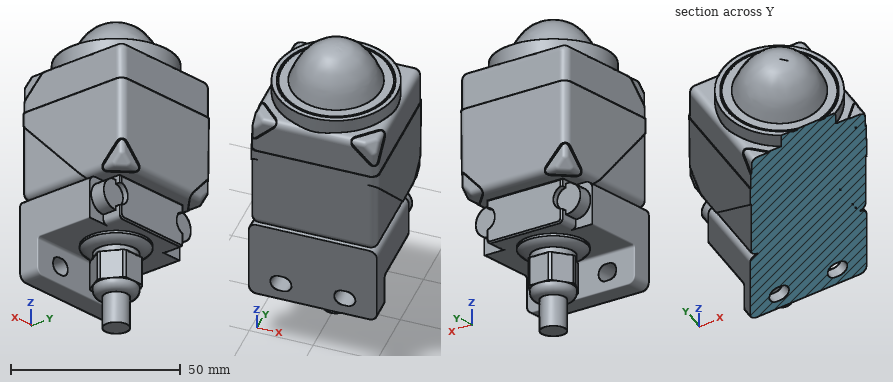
import cadquery as cq
import math

TOTAL_HEIGHT = 97.91

SEAM_WIDTH = 40.15
UPPER_WIDTH = 39.75
WEDGE_WIDTH = 39.5
HOUSING_HEIGHT = 40.0
SEAM_Z = 28.0
EDGE_RADIUS = 2.4
LOWER_DRAFT = math.degrees(math.atan((SEAM_WIDTH - UPPER_WIDTH) / 2 / SEAM_Z))
WALL_OVERHANG = 2.0
WEDGE_TOP_Z = 24.8
FRONT_Y = -SEAM_WIDTH / 2

RELIEF_SIZE = 10.0
CORNER_CUT_SIZE = 5.6
RELIEF_DEPTH = 0.3
RELIEF_EDGE_RADIUS = 1.6

RING_DIAMETER = 38.1
RING_TOP_Z = 44.5
GROOVE_OUTER_DIAMETER = 35.0
GROOVE_WIDTH = 0.5
GROOVE_DEPTH = 0.5
DOME_RADIUS = 14.1
DOME_HEIGHT = 12.78
DOME_UPPER_DROP = 3.63
DOME_UPPER_RADIUS = 9.0
DOME_LOWER_DROP = 8.9
DOME_LOWER_RADIUS = 12.5
DOME_BASE_DIRECTION = (-0.4, -1)

BRACKET_WIDTH = SEAM_WIDTH
BRACKET_CORNER_RADIUS = 2.5
PLATE_HEIGHT = 26.0
PLATE_THICKNESS = 7.0
BLOCK_HEIGHT = 14.0
BLOCK_DEPTH = 27.4
INNER_FILLET = 0.8
REAR_EDGE_RADIUS = 0.35
SLOT_LENGTH = 6.6
SLOT_WIDTH = 5.4
SLOT_SPACING = 20.0
SLOT_Z = -20.1

CLAMP_BACK_Y = 14.15
CLAMP_WIDTH = 28.0
CLAMP_HEIGHT = BLOCK_HEIGHT
CLAMP_EDGE_RADIUS = 1.5
CLAMP_BACK_CHAMFER = 0.5
BOSS_SPACING = 29.0
BOSS_RADIUS = 4.9
BOSS_Z = -6.1
RECESS_RADIUS = 3.65
RECESS_DEPTH = 1.9

FLANGE_DIAMETER = 21.6
FLANGE_RIM_Z = -14.75
FLANGE_SHOULDER_RADIUS = 9.8
FLANGE_SHOULDER_Z = -15.8
FLANGE_BOTTOM_Z = -16.7
GLAND_DIAMETER = 13.9
HEX_TOP_Z = -18.6
HEX_BOTTOM_Z = -27.5
HEX_FLATS = 14.0
HEX_TURN = 30
HEX_ROUNDING_DIAMETER = 15.6
CAP_BOTTOM_Z = -30.7
CAP_RADIUS = 2.4
CABLE_DIAMETER = 8.2
CABLE_END_Z = RING_TOP_Z + DOME_HEIGHT - TOTAL_HEIGHT


def square_block(width, bottom, top):
    """Square prism centred on the Z axis."""
    return cq.Workplane("XY").workplane(offset=bottom).rect(width, width).extrude(top - bottom)


def disc(diameter, bottom, top):
    """Cylinder on the Z axis."""
    return cq.Workplane("XY").workplane(offset=bottom).circle(diameter / 2).extrude(top - bottom)


def upper_shell():
    """Shell above the seam, rounded along its top and upright edges."""
    block = square_block(UPPER_WIDTH, SEAM_Z, HOUSING_HEIGHT)
    return block.edges("|Z or >Z").fillet(EDGE_RADIUS)


def wedge_prism():
    """Space below the 45 degree plane that crosses the housing sides."""
    return (
        cq.Workplane("YZ")
        .moveTo(FRONT_Y, 0)
        .lineTo(FRONT_Y + WEDGE_TOP_Z, 0)
        .lineTo(FRONT_Y, WEDGE_TOP_Z)
        .close()
        .extrude(SEAM_WIDTH / 2, both=True)
    )


def lower_shell():
    """Shell with a plumb front face, side walls drafted except in the front wedge."""
    envelope = square_block(SEAM_WIDTH, 0, SEAM_Z)
    tapered = (
        cq.Workplane("XY", origin=(0, -WALL_OVERHANG / 2, SEAM_Z))
        .rect(SEAM_WIDTH, SEAM_WIDTH + WALL_OVERHANG)
        .extrude(-SEAM_Z, taper=LOWER_DRAFT)
        .intersect(envelope)
        .edges("not >Z")
        .fillet(EDGE_RADIUS)
    )
    wedge_depth = WEDGE_WIDTH / 2 - FRONT_Y
    straight = (
        cq.Workplane("XY", origin=(0, FRONT_Y + wedge_depth / 2, 0))
        .rect(WEDGE_WIDTH, wedge_depth)
        .extrude(SEAM_Z)
        .edges("|Z or <Z")
        .fillet(EDGE_RADIUS)
    )
    wedge = wedge_prism()
    return tapered.cut(wedge).union(straight.intersect(wedge))


def corner_tetrahedron(size, x_sign, y_sign, z, z_sign):
    """Corner solid whose three legs run along the housing edges from one vertex."""
    x = x_sign * SEAM_WIDTH / 2
    y = y_sign * SEAM_WIDTH / 2
    vertex = cq.Vector(x, y, z)
    x_leg = cq.Vector(x - x_sign * size, y, z)
    y_leg = cq.Vector(x, y - y_sign * size, z)
    z_leg = cq.Vector(x, y, z + z_sign * size)
    triangles = [
        (vertex, x_leg, y_leg),
        (vertex, y_leg, z_leg),
        (vertex, z_leg, x_leg),
        (x_leg, y_leg, z_leg),
    ]
    faces = [cq.Face.makeFromWires(cq.Wire.makePolygon(t, close=True)) for t in triangles]
    solid = cq.Solid.makeSolid(cq.Shell.makeShell(faces))
    return cq.Workplane(obj=solid.fix())


def housing():
    """Both shells, with a shallow relief around a flat facet at four corners."""
    body = upper_shell().union(lower_shell())
    core_width = UPPER_WIDTH - 2 * RELIEF_DEPTH
    core = square_block(core_width, RELIEF_DEPTH, HOUSING_HEIGHT - RELIEF_DEPTH)
    reliefs = []
    for x_sign in (-1, 1):
        for y_sign, z, z_sign in ((-1, HOUSING_HEIGHT, -1), (1, 0, 1)):
            core = core.cut(corner_tetrahedron(CORNER_CUT_SIZE, x_sign, y_sign, z, z_sign))
            reliefs.append(corner_tetrahedron(RELIEF_SIZE, x_sign, y_sign, z, z_sign))
    core = core.edges().fillet(RELIEF_EDGE_RADIUS)
    for relief in reliefs:
        body = body.cut(relief.cut(core))
    return body


def ring():
    """Plain ring around the dome, with a narrow groove in its top face."""
    plain = disc(RING_DIAMETER, HOUSING_HEIGHT - EDGE_RADIUS, RING_TOP_Z)
    groove_floor = RING_TOP_Z - GROOVE_DEPTH
    groove_inner = GROOVE_OUTER_DIAMETER - 2 * GROOVE_WIDTH
    groove = disc(GROOVE_OUTER_DIAMETER, groove_floor, RING_TOP_Z)
    groove = groove.cut(disc(groove_inner, groove_floor, RING_TOP_Z))
    return plain.cut(groove)


def dome():
    """Dome of revolution, round at the crown and steeper towards the ring."""
    top = RING_TOP_Z + DOME_HEIGHT
    flank = [
        (-DOME_UPPER_RADIUS, top - DOME_UPPER_DROP),
        (-DOME_LOWER_RADIUS, top - DOME_LOWER_DROP),
        (-DOME_RADIUS, RING_TOP_Z),
    ]
    return (
        cq.Workplane("XZ")
        .moveTo(0, RING_TOP_Z)
        .lineTo(0, top)
        .spline(flank, tangents=[(-1, 0), DOME_BASE_DIRECTION], includeCurrent=True)
        .close()
        .revolve(360, (0, 0, 0), (0, 1, 0))
    )


def bracket():
    """Slotted mounting plate and the block that carries the housing."""
    profile = (
        cq.Workplane("YZ")
        .moveTo(FRONT_Y, 0)
        .lineTo(FRONT_Y + BLOCK_DEPTH, 0)
        .lineTo(FRONT_Y + BLOCK_DEPTH, -BLOCK_HEIGHT)
        .lineTo(FRONT_Y + PLATE_THICKNESS, -BLOCK_HEIGHT)
        .lineTo(FRONT_Y + PLATE_THICKNESS, -PLATE_HEIGHT)
        .lineTo(FRONT_Y, -PLATE_HEIGHT)
        .close()
        .extrude(BRACKET_WIDTH / 2, both=True)
    )
    inner_corner = (0, FRONT_Y + PLATE_THICKNESS, -BLOCK_HEIGHT)
    profile = profile.edges(cq.selectors.NearestToPointSelector(inner_corner)).fillet(INNER_FILLET)
    outline = (
        cq.Workplane("XZ", origin=(0, FRONT_Y, -PLATE_HEIGHT / 2))
        .rect(BRACKET_WIDTH, PLATE_HEIGHT)
        .extrude(-BLOCK_DEPTH)
        .edges("|Y")
        .fillet(BRACKET_CORNER_RADIUS)
    )
    slots = (
        cq.Workplane("XZ", origin=(0, FRONT_Y, SLOT_Z))
        .pushPoints([(-SLOT_SPACING / 2, 0), (SLOT_SPACING / 2, 0)])
        .slot2D(SLOT_LENGTH, SLOT_WIDTH)
        .extrude(-PLATE_THICKNESS)
    )
    body = profile.intersect(outline)
    block_middle_y = FRONT_Y + (PLATE_THICKNESS + BLOCK_DEPTH) / 2
    lower_side = cq.selectors.NearestToPointSelector((BRACKET_WIDTH / 2, block_middle_y, -BLOCK_HEIGHT))
    body = body.edges(lower_side).fillet(REAR_EDGE_RADIUS)
    return body.cut(slots)


def clamp():
    """Block behind the bracket with a round boss and an end recess at each side."""
    start_y = FRONT_Y + BLOCK_DEPTH
    depth = CLAMP_BACK_Y - start_y
    block = (
        cq.Workplane("XZ", origin=(0, start_y, -CLAMP_HEIGHT / 2))
        .rect(CLAMP_WIDTH, CLAMP_HEIGHT)
        .extrude(-depth)
        .edges("|Y and <Z")
        .fillet(CLAMP_EDGE_RADIUS)
        .faces(">Y")
        .chamfer(CLAMP_BACK_CHAMFER)
    )
    boss_points = [(-BOSS_SPACING / 2, 0), (BOSS_SPACING / 2, 0)]
    recesses = (
        cq.Workplane("XZ", origin=(0, CLAMP_BACK_Y, BOSS_Z))
        .pushPoints(boss_points)
        .circle(RECESS_RADIUS)
        .extrude(RECESS_DEPTH)
    )
    bosses = (
        cq.Workplane("XZ", origin=(0, start_y, BOSS_Z))
        .pushPoints(boss_points)
        .circle(BOSS_RADIUS)
        .extrude(RECESS_DEPTH - depth)
    )
    return block.cut(recesses).union(bosses)


def cable_gland():
    """Curved flange, neck, hexagon, rounded cap and cable on the Z axis."""
    rim_radius = FLANGE_DIAMETER / 2
    neck_radius = GLAND_DIAMETER / 2
    flange = (
        cq.Workplane("XZ")
        .moveTo(0, -BLOCK_HEIGHT)
        .lineTo(rim_radius, -BLOCK_HEIGHT)
        .lineTo(rim_radius, FLANGE_RIM_Z)
        .threePointArc(
            (FLANGE_SHOULDER_RADIUS, FLANGE_SHOULDER_Z),
            (neck_radius, FLANGE_BOTTOM_Z),
        )
        .lineTo(0, FLANGE_BOTTOM_Z)
        .close()
        .revolve(360, (0, 0, 0), (0, 1, 0))
    )
    neck = disc(GLAND_DIAMETER, HEX_TOP_Z, FLANGE_BOTTOM_Z)
    hexagon = (
        cq.Workplane("XY")
        .workplane(offset=HEX_BOTTOM_Z)
        .polygon(6, HEX_FLATS, circumscribed=True)
        .extrude(HEX_TOP_Z - HEX_BOTTOM_Z)
        .rotate((0, 0, 0), (0, 0, 1), HEX_TURN)
        .intersect(disc(HEX_ROUNDING_DIAMETER, HEX_BOTTOM_Z, HEX_TOP_Z))
    )
    cap = disc(GLAND_DIAMETER, CAP_BOTTOM_Z, HEX_BOTTOM_Z).edges("<Z").fillet(CAP_RADIUS)
    cable = disc(CABLE_DIAMETER, CABLE_END_Z, CAP_BOTTOM_Z)
    return flange.union(neck).union(hexagon).union(cap).union(cable)


result = housing().union(ring()).union(dome()).union(bracket()).union(clamp()).union(cable_gland())